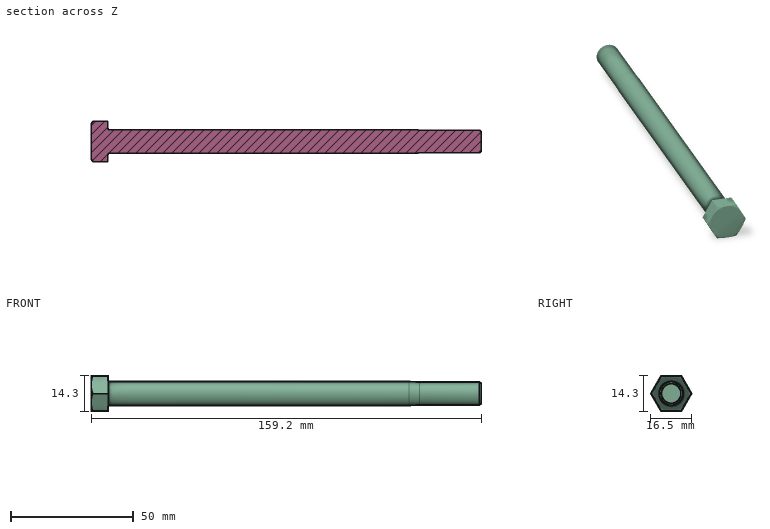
import cadquery as cq
import math

total_length = 159.2
across_flats = 14.3
head_height = 7.0
head_chamfer_angle = 30.0

shank_diameter = 9.9
thread_diameter = 9.5
underhead_fillet = 0.4
taper_start = 129.6
taper_length = 4.3
tip_chamfer = 0.8

across_corners = across_flats / math.cos(math.radians(30))


def make_head():
    """Hexagon head with opposite flats facing up and down, its outer corners chamfered by a cone."""
    hexagon = cq.Workplane("YZ").polygon(6, across_corners).extrude(head_height)
    face_radius = across_flats / 2
    cone_slope = math.tan(math.radians(head_chamfer_angle))
    rim_radius = face_radius + head_height / cone_slope
    cone = (
        cq.Workplane("XY")
        .polyline([(0, 0), (0, face_radius), (head_height, rim_radius), (head_height, 0)])
        .close()
        .revolve(360, (0, 0, 0), (1, 0, 0))
    )
    return hexagon.intersect(cone)


def make_shank():
    """Shank flaring into the head with a fillet, and tapering to the thread section with a chamfered tip."""
    shank_radius = shank_diameter / 2
    thread_radius = thread_diameter / 2
    flare_radius = shank_radius + underhead_fillet
    fillet_end = head_height + underhead_fillet
    arc_inset = underhead_fillet * (1 - math.sin(math.radians(45)))
    profile = (
        cq.Workplane("XY")
        .moveTo(head_height, 0)
        .lineTo(head_height, flare_radius)
        .threePointArc((head_height + arc_inset, shank_radius + arc_inset), (fillet_end, shank_radius))
        .lineTo(taper_start, shank_radius)
        .lineTo(taper_start + taper_length, thread_radius)
        .lineTo(total_length - tip_chamfer, thread_radius)
        .lineTo(total_length, thread_radius - tip_chamfer)
        .lineTo(total_length, 0)
        .close()
    )
    return profile.revolve(360, (0, 0, 0), (1, 0, 0))


bolt = make_head().union(make_shank())
result = bolt.translate((-total_length / 2, 0, 0))